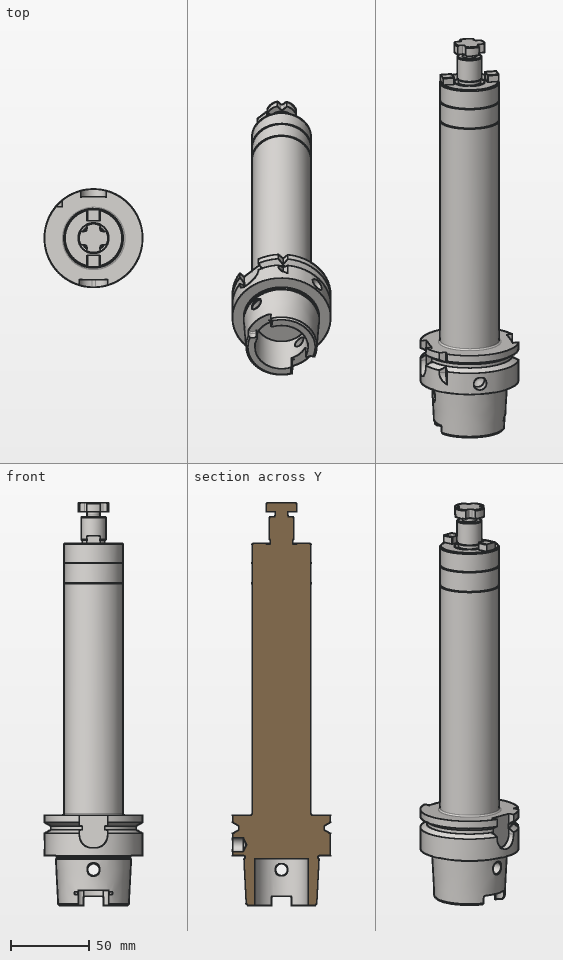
import cadquery as cq
import math


SHANK_LENGTH = 32.0
TAPER_RATIO = 1 / 10
GAUGE_RADIUS = 48.01 / 2
GAUGE_DEPTH = 6.3
SHANK_END_CHAMFER = 1.2
RELIEF_HEIGHT = 2.2
RELIEF_DEPTH = 0.7
BORE_RADIUS = 17.0
BORE_ROOF = -2.0

CROSS_HOLE_RADIUS = 3.8
CROSS_HOLE_CHAMFER = 0.6
CROSS_HOLE_Z = -9.0

DRIVE_SLOT_WIDTH = 12.6
DRIVE_SLOT_FLARED_WIDTH = 19.6
DRIVE_SLOT_ROOF_FILLET = 0.8
FRONT_DRIVE_SLOT_DEPTH = 10.0
BACK_DRIVE_SLOT_DEPTH = 6.0
CORNER_RELIEF_RADIUS = 1.05
CORNER_RELIEF_X = 11.15
CORNER_RELIEF_DROP = 0.95
CORNER_RELIEF_FLOOR = 18.8

FLANGE_RADIUS = 63.0 / 2
FLANGE_HEIGHT = 26.0
GROOVE_WIDTH = 7.0
GROOVE_FLOOR_RADIUS = 55.0 / 2
GROOVE_CENTRE_Z = 17.75
GROOVE_FLANK_ANGLE = 30.0
FLANGE_SLOT_FLOOR = 26.5
FLANGE_SLOT_CORNER_RADIUS = 8.0
FLANGE_SLOT_BOTTOM = 5.0
FRONT_FLANGE_SLOT_WIDTH = 18.0
BACK_FLANGE_SLOT_WIDTH = 16.0
NOTCH_CORNER = 20.0
NOTCH_BOTTOM = 4.8
NOTCH_RUNOUT_RADIUS = 8.0
SIDE_HOLE_RADIUS = 4.2
SIDE_HOLE_DEPTH = 7.0
SIDE_HOLE_Z = 7.0
SIDE_HOLE_POINT_ANGLE = 130.0

BODY_RADIUS = 19.0
BODY_TOP = 200.0
BODY_BASE_FILLET = 1.0
BODY_TOP_CHAMFER = 0.8
RING_GROOVE_HEIGHTS = (174.2, 187.3)
RING_GROOVE_WIDTH = 0.6
RING_GROOVE_DEPTH = 0.2

SPIGOT_RADIUS = 8.0
SPIGOT_LENGTH = 17.0
SPIGOT_CHAMFER = 0.6
UNDERCUT_HEIGHT = 2.4
UNDERCUT_DEPTH = 0.7
FACE_RECESS_RADIUS = 9.7
FACE_RECESS_DEPTH = 0.4

KEY_WIDTH = 8.4
KEY_HEIGHT = 4.7
KEY_CHAMFER = 0.4
KEY_INNER_END = 11.0
KEY_OUTER_END = 18.3

SCREW_NECK_RADIUS = 4.2
SCREW_NECK_FLARE = 0.3
SCREW_NECK_FLARE_HEIGHT = 1.3
SCREW_HEAD_RADIUS = 9.8
SCREW_HEAD_HEIGHT = 5.9
SCREW_HEAD_TOP = 225.9
ARM_WIDTH = 8.6
ARM_CORNER_FILLET = 1.5
ARM_END_CHAMFER = 0.6

CLEARANCE = 5.0


def taper_radius(z):
    return GAUGE_RADIUS + (z + GAUGE_DEPTH) * TAPER_RATIO / 2


def cylinder(radius, bottom, top):
    return cq.Workplane("XY").workplane(offset=bottom).circle(radius).extrude(top - bottom)


def box(x_range, y_range, z_range):
    size = [high - low for low, high in (x_range, y_range, z_range)]
    corner = (x_range[0], y_range[0], z_range[0])
    return cq.Workplane("XY").box(*size, centered=False).translate(corner)


def revolve(points):
    """Turn an outline of (radius, Z) points around the Z axis."""
    return cq.Workplane("XZ").polyline(points).close().revolve(360, (0, 0), (0, 1))


def turned_shank_and_body():
    shank_end_radius = taper_radius(-SHANK_LENGTH)
    relief_radius = taper_radius(-RELIEF_HEIGHT) - RELIEF_DEPTH
    flank_height = (FLANGE_RADIUS - GROOVE_FLOOR_RADIUS) * math.tan(math.radians(GROOVE_FLANK_ANGLE))
    groove_low = GROOVE_CENTRE_Z - GROOVE_WIDTH / 2
    groove_high = GROOVE_CENTRE_Z + GROOVE_WIDTH / 2
    outline = (
        cq.Workplane("XZ")
        .moveTo(0, -SHANK_LENGTH)
        .lineTo(shank_end_radius - SHANK_END_CHAMFER, -SHANK_LENGTH)
        .lineTo(shank_end_radius, -SHANK_LENGTH + SHANK_END_CHAMFER)
        .lineTo(taper_radius(-RELIEF_HEIGHT), -RELIEF_HEIGHT)
        .lineTo(relief_radius, -RELIEF_HEIGHT + RELIEF_DEPTH)
        .lineTo(relief_radius, -RELIEF_DEPTH)
        .lineTo(taper_radius(0), 0)
        .lineTo(FLANGE_RADIUS, 0)
        .lineTo(FLANGE_RADIUS, groove_low)
        .lineTo(GROOVE_FLOOR_RADIUS, groove_low + flank_height)
        .lineTo(GROOVE_FLOOR_RADIUS, groove_high - flank_height)
        .lineTo(FLANGE_RADIUS, groove_high)
        .lineTo(FLANGE_RADIUS, FLANGE_HEIGHT)
        .lineTo(BODY_RADIUS + BODY_BASE_FILLET, FLANGE_HEIGHT)
        .radiusArc((BODY_RADIUS, FLANGE_HEIGHT + BODY_BASE_FILLET), BODY_BASE_FILLET)
        .lineTo(BODY_RADIUS, BODY_TOP - BODY_TOP_CHAMFER)
        .lineTo(BODY_RADIUS - BODY_TOP_CHAMFER, BODY_TOP)
        .lineTo(0, BODY_TOP)
        .close()
    )
    return outline.revolve(360, (0, 0), (0, 1))


def ring_groove(z):
    low = z - RING_GROOVE_WIDTH / 2
    high = z + RING_GROOVE_WIDTH / 2
    outside = cylinder(BODY_RADIUS + CLEARANCE, low, high)
    return outside.cut(cylinder(BODY_RADIUS - RING_GROOVE_DEPTH, low, high))


def flange_slot(width):
    """Slot open to the top of the flange on the -Y side, with a round-cornered bottom."""
    half = width / 2
    top = FLANGE_HEIGHT + CLEARANCE
    arc_start = FLANGE_SLOT_BOTTOM + FLANGE_SLOT_CORNER_RADIUS
    flat_half = half - FLANGE_SLOT_CORNER_RADIUS
    outline = (
        cq.Workplane("XZ", origin=(0, -FLANGE_SLOT_FLOOR, 0))
        .moveTo(-half, top)
        .lineTo(-half, arc_start)
        .radiusArc((-flat_half, FLANGE_SLOT_BOTTOM), -FLANGE_SLOT_CORNER_RADIUS)
    )
    if flat_half > 0:
        outline = outline.lineTo(flat_half, FLANGE_SLOT_BOTTOM)
    outline = outline.radiusArc((half, arc_start), -FLANGE_SLOT_CORNER_RADIUS).lineTo(half, top).close()
    return outline.extrude(FLANGE_RADIUS + CLEARANCE - FLANGE_SLOT_FLOOR)


def flange_notch():
    """Square-cornered notch on the -X +Y side, whose -X facing wall curves out at the bottom."""
    notch = box(
        (-FLANGE_RADIUS, -NOTCH_CORNER),
        (NOTCH_CORNER, FLANGE_RADIUS),
        (NOTCH_BOTTOM, FLANGE_HEIGHT + CLEARANCE),
    )
    return notch.edges("|Y and >X and <Z").fillet(NOTCH_RUNOUT_RADIUS)


def side_hole():
    """Blind hole with a conical bottom, entering the flange from the -X side."""
    entry = -FLANGE_RADIUS - CLEARANCE
    cone_start = -FLANGE_RADIUS + SIDE_HOLE_DEPTH
    cone_depth = SIDE_HOLE_RADIUS / math.tan(math.radians(SIDE_HOLE_POINT_ANGLE / 2))
    return (
        cq.Workplane("XY")
        .moveTo(entry, 0)
        .lineTo(cone_start + cone_depth, 0)
        .lineTo(cone_start, SIDE_HOLE_RADIUS)
        .lineTo(entry, SIDE_HOLE_RADIUS)
        .close()
        .revolve(360, (0, 0), (1, 0))
        .translate((0, 0, SIDE_HOLE_Z))
    )


def cross_hole():
    """Hole along Y through both shank walls, countersunk at both mouths."""
    reach = GAUGE_RADIUS + CLEARANCE
    mouth_y = taper_radius(CROSS_HOLE_Z)
    hole = cq.Workplane("XZ").circle(CROSS_HOLE_RADIUS).extrude(reach, both=True)
    countersink = (
        cq.Workplane("XY")
        .moveTo(0, -mouth_y + CROSS_HOLE_CHAMFER)
        .lineTo(CROSS_HOLE_RADIUS, -mouth_y + CROSS_HOLE_CHAMFER)
        .lineTo(CROSS_HOLE_RADIUS + CROSS_HOLE_CHAMFER, -mouth_y)
        .lineTo(CROSS_HOLE_RADIUS + CROSS_HOLE_CHAMFER, -reach)
        .lineTo(0, -reach)
        .close()
        .revolve(360, (0, 0), (0, 1))
    )
    return hole.union(countersink).union(to_back(countersink)).translate((0, 0, CROSS_HOLE_Z))


def drive_slot(depth):
    """Slot on the -Y side of the shank's end, its walls rounding away towards the outside."""
    half = DRIVE_SLOT_WIDTH / 2
    flared_half = DRIVE_SLOT_FLARED_WIDTH / 2
    shank_end_radius = taper_radius(-SHANK_LENGTH)
    outer_y = -math.sqrt(shank_end_radius**2 - flared_half**2)
    flare_radius = flared_half - half
    flare_start = outer_y + flare_radius
    far_y = -shank_end_radius - CLEARANCE
    return (
        cq.Workplane("XY")
        .workplane(offset=-SHANK_LENGTH - CLEARANCE)
        .moveTo(-half, 0)
        .lineTo(-half, flare_start)
        .radiusArc((-flared_half, outer_y), -flare_radius)
        .lineTo(-flared_half, far_y)
        .lineTo(flared_half, far_y)
        .lineTo(flared_half, outer_y)
        .radiusArc((half, flare_start), -flare_radius)
        .lineTo(half, 0)
        .close()
        .extrude(depth + CLEARANCE)
        .edges("|Y and >Z")
        .fillet(DRIVE_SLOT_ROOF_FILLET)
    )


def drive_slot_corner_reliefs():
    z = -SHANK_LENGTH + FRONT_DRIVE_SLOT_DEPTH - CORNER_RELIEF_DROP - CORNER_RELIEF_RADIUS
    return (
        cq.Workplane("XZ", origin=(0, -CORNER_RELIEF_FLOOR, z))
        .pushPoints([(-CORNER_RELIEF_X, 0), (CORNER_RELIEF_X, 0)])
        .circle(CORNER_RELIEF_RADIUS)
        .extrude(GAUGE_RADIUS + CLEARANCE - CORNER_RELIEF_FLOOR)
    )


def spigot():
    undercut_radius = SPIGOT_RADIUS - UNDERCUT_DEPTH
    top = BODY_TOP + SPIGOT_LENGTH
    undercut_top = BODY_TOP + UNDERCUT_HEIGHT
    return revolve(
        [
            (0, BODY_TOP - FACE_RECESS_DEPTH),
            (undercut_radius, BODY_TOP - FACE_RECESS_DEPTH),
            (undercut_radius, undercut_top - UNDERCUT_DEPTH),
            (SPIGOT_RADIUS, undercut_top),
            (SPIGOT_RADIUS, top - SPIGOT_CHAMFER),
            (SPIGOT_RADIUS - SPIGOT_CHAMFER, top),
            (0, top),
        ]
    )


def drive_key():
    key = box(
        (-KEY_WIDTH / 2, KEY_WIDTH / 2),
        (-KEY_OUTER_END, -KEY_INNER_END),
        (BODY_TOP, BODY_TOP + KEY_HEIGHT),
    )
    return key.edges("|Y and >Z or (|Z and >Y)").chamfer(KEY_CHAMFER)


def screw():
    """Neck and cross-shaped head of the clamping screw."""
    head_bottom = SCREW_HEAD_TOP - SCREW_HEAD_HEIGHT
    half_arm = (-ARM_WIDTH / 2, ARM_WIDTH / 2)
    reach = (-SCREW_HEAD_RADIUS, SCREW_HEAD_RADIUS)
    heights = (head_bottom, SCREW_HEAD_TOP)
    cross = box(reach, half_arm, heights).union(box(half_arm, reach, heights))
    inner_corners = cq.selectors.BoxSelector(
        (-ARM_WIDTH, -ARM_WIDTH, head_bottom), (ARM_WIDTH, ARM_WIDTH, SCREW_HEAD_TOP)
    )
    cross = cross.edges("|Z").edges(inner_corners).fillet(ARM_CORNER_FILLET)
    disc = cylinder(SCREW_HEAD_RADIUS, *heights).faces(">Z").chamfer(ARM_END_CHAMFER)
    head = cross.intersect(disc)
    neck_bottom = BODY_TOP + SPIGOT_LENGTH
    neck = revolve(
        [
            (0, neck_bottom),
            (SCREW_NECK_RADIUS + SCREW_NECK_FLARE, neck_bottom),
            (SCREW_NECK_RADIUS, neck_bottom + SCREW_NECK_FLARE_HEIGHT),
            (SCREW_NECK_RADIUS, head_bottom),
            (0, head_bottom),
        ]
    )
    return head.union(neck)


def to_back(feature):
    """Turn a feature from the -Y side to the +Y side."""
    return feature.rotate((0, 0, 0), (0, 0, 1), 180)


result = turned_shank_and_body()
for groove_z in RING_GROOVE_HEIGHTS:
    result = result.cut(ring_groove(groove_z))

result = result.cut(flange_slot(FRONT_FLANGE_SLOT_WIDTH))
result = result.cut(to_back(flange_slot(BACK_FLANGE_SLOT_WIDTH)))
result = result.cut(flange_notch())
result = result.cut(side_hole())

result = result.cut(cylinder(BORE_RADIUS, -SHANK_LENGTH, BORE_ROOF))
result = result.cut(cross_hole())
result = result.cut(drive_slot(FRONT_DRIVE_SLOT_DEPTH))
result = result.cut(to_back(drive_slot(BACK_DRIVE_SLOT_DEPTH)))
result = result.cut(drive_slot_corner_reliefs())

result = result.cut(cylinder(FACE_RECESS_RADIUS, BODY_TOP - FACE_RECESS_DEPTH, BODY_TOP))
result = result.union(spigot())
result = result.union(drive_key())
result = result.union(to_back(drive_key()))
result = result.union(screw())